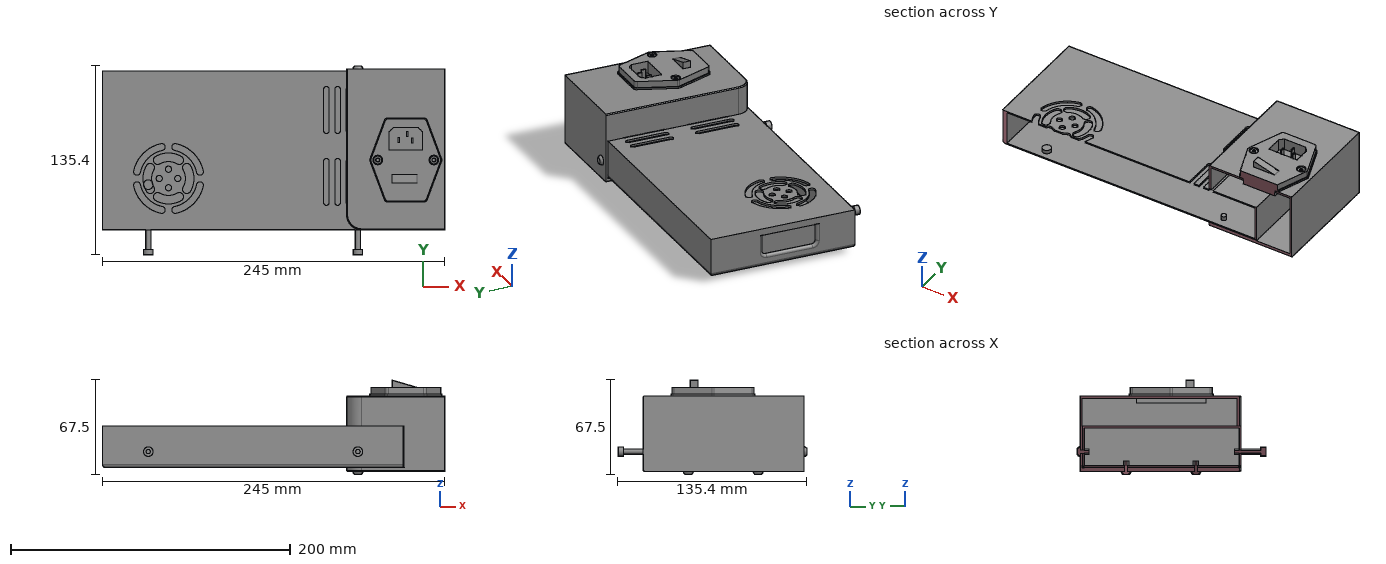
import cadquery as cq
import math

CASE_LENGTH = 215.0
CASE_DEPTH = 113.7
CASE_HEIGHT = 30.0
CASE_WALL = 1.5
CASE_BOTTOM_RADIUS = 2.5
CASE_LID_BOTTOM = CASE_HEIGHT - CASE_WALL

RECESS_WIDTH = 46.5
RECESS_HEIGHT = 18.4
RECESS_RIGHT = 28.2
RECESS_BOTTOM_Z = 6.4
RECESS_CORNER_RADIUS = 5.1
RECESS_RIM = 2.2
RECESS_DEPTH = 2.5
CASE_END_WALL = RECESS_DEPTH + CASE_WALL

FAN_X = 47.3
FAN_Y = 36.8
OUTER_SLOT_RADIUS = 23.0
OUTER_SLOT_WIDTH = 5.0
OUTER_SLOT_SWEEP = 66.0
INNER_SLOT_RADIUS = 15.2
INNER_SLOT_WIDTH = 6.1
INNER_SLOT_SWEEP = 61.0
FAN_HOLE_DIAMETER = 4.5
FAN_HOLE_RADIUS = 6.5

VENT_FIRST_X = 160.2
VENT_PITCH = 8.0
VENT_COLUMNS = 3
VENT_WIDTH = 4.0
VENT_LENGTH = 33.5
VENT_ROWS_Y = (34.3, 85.8)

BOSS_DIAMETER = 6.9
BOSS_HEIGHT = 3.0

COVER_LEFT = 174.7
COVER_RIGHT = 245.0
COVER_BACK = 115.2
COVER_BOTTOM = -2.7
COVER_TOP = 51.5
COVER_WALL = 2.0
COVER_CORNER_RADIUS = 10.8
COVER_CHAMFER = 0.7
CASE_END_GAP = 0.7

INLET_X = 217.0
INLET_Y = 50.0
INLET_HALF_WIDTH = 26.0
INLET_HALF_FLAT = 14.7
INLET_HALF_HEIGHT = 30.1
INLET_CORNER_RADIUS = 2.5
INLET_STEP = 0.7
RIM_HEIGHT = 1.2
INLET_TOP = 57.5
BODY_WIDTH = 27.0
BODY_LENGTH = 50.0

SOCKET_WIDTH = 23.8
SOCKET_HEIGHT = 16.0
SOCKET_MIDDLE_Y = 15.2
SOCKET_CHAMFER = 3.0
SOCKET_DEPTH = 9.3
BODY_BOTTOM = INLET_TOP - SOCKET_DEPTH - COVER_WALL
PIN_WIDTH = 1.0
PIN_LENGTH = 3.5
PIN_HEIGHT = 7.4
PIN_PLACES = ((-5.1, 14.2), (1.0, 18.5), (4.7, 14.0))

SWITCH_LEFT = -9.8
SWITCH_LENGTH = 17.6
SWITCH_WIDTH = 6.0
SWITCH_MIDDLE_Y = -13.5
SWITCH_RISE = 5.1

SHANK_DIAMETER = 4.0
FRONT_SCREW_XS = (32.8, 182.8)
SIDE_SCREW_Z = 11.5
CAP_HEAD_DIAMETER = 6.9
CAP_HEAD_HEIGHT = 4.0
CAP_SCREW_REACH = 18.0
CAP_SOCKET_DIAMETER = 3.5
CAP_SOCKET_DEPTH = 2.0
THREAD_ENGAGEMENT = 5.0

BUTTON_X = 182.8
BUTTON_YS = (32.3, 82.3)
BUTTON_HEAD_DIAMETER = 7.4
BUTTON_TOP_DIAMETER = 4.5
BUTTON_HEAD_HEIGHT = 2.2
BUTTON_DOME_POINT = (3.2, 1.2)

INLET_SCREW_SPACING = 40.2
INLET_SCREW_HEAD = 5.6
INLET_SCREW_SHANK = 3.0
INLET_SCREW_LENGTH = 7.4
COUNTERSINK_DIAMETER = 6.9
DRIVE_DIAMETER = 2.7
DRIVE_DEPTH = 1.0


def block(x0, x1, y0, y1, z0, z1):
    """Box between two corners."""
    return cq.Workplane("XY").box(x1 - x0, y1 - y0, z1 - z0, centered=False).translate((x0, y0, z0))


def rod(diameter, start, direction, length):
    """Cylinder that runs from a start point along a direction."""
    cylinder = cq.Solid.makeCylinder(diameter / 2, length, cq.Vector(*start), cq.Vector(*direction))
    return cq.Workplane(obj=cylinder)


def arc_slot(radius, width, middle_angle, sweep):
    """Cutter for an arc-shaped slot with round ends through the top of the case."""
    def polar(r, angle):
        a = math.radians(angle)
        return (r * math.cos(a), r * math.sin(a))

    first = middle_angle - sweep / 2
    last = middle_angle + sweep / 2
    inner = radius - width / 2
    outer = radius + width / 2
    end_overrun = math.degrees(width / 2 / radius)
    return (
        cq.Workplane("XY")
        .moveTo(*polar(inner, first))
        .threePointArc(polar(inner, middle_angle), polar(inner, last))
        .threePointArc(polar(radius, last + end_overrun), polar(outer, last))
        .threePointArc(polar(outer, middle_angle), polar(outer, first))
        .threePointArc(polar(radius, first - end_overrun), polar(inner, first))
        .close()
        .extrude(CASE_WALL)
        .translate((FAN_X, FAN_Y, CASE_LID_BOTTOM))
    )


def fan_grille():
    """Cutters of the fan grille: two rings of four arc slots and four round holes."""
    cutters = (
        cq.Workplane("XY", origin=(FAN_X, FAN_Y, CASE_LID_BOTTOM))
        .polarArray(FAN_HOLE_RADIUS, 0, 360, 4)
        .circle(FAN_HOLE_DIAMETER / 2)
        .extrude(CASE_WALL)
    )
    for quarter in range(4):
        angle = 90 * quarter
        cutters = cutters.add(arc_slot(INNER_SLOT_RADIUS, INNER_SLOT_WIDTH, angle, INNER_SLOT_SWEEP))
        cutters = cutters.add(arc_slot(OUTER_SLOT_RADIUS, OUTER_SLOT_WIDTH, angle + 45, OUTER_SLOT_SWEEP))
    return cutters.combine()


def vents():
    """Cutters of the straight vent slots."""
    places = [(VENT_FIRST_X + i * VENT_PITCH, y) for i in range(VENT_COLUMNS) for y in VENT_ROWS_Y]
    return (
        cq.Workplane("XY", origin=(0, 0, CASE_LID_BOTTOM))
        .pushPoints(places)
        .slot2D(VENT_LENGTH, VENT_WIDTH, 90)
        .extrude(CASE_WALL)
    )


def recess():
    """Cutter of the end recess, with a rounded rim at its sides and bottom and a sharp top edge."""
    top = RECESS_BOTTOM_Z + RECESS_HEIGHT
    left = RECESS_RIGHT + RECESS_WIDTH
    half_rim = RECESS_RIM / 2
    floor_area = (
        block(0, RECESS_DEPTH, RECESS_RIGHT + RECESS_RIM, left - RECESS_RIM,
              RECESS_BOTTOM_Z + RECESS_RIM, CASE_HEIGHT)
        .edges("|X and <Z")
        .fillet(RECESS_CORNER_RADIUS - RECESS_RIM)
    )
    rim_edges = cq.selectors.BoxSelector(
        (-half_rim, RECESS_RIGHT + half_rim, RECESS_BOTTOM_Z + half_rim),
        (half_rim, left - half_rim, CASE_HEIGHT - half_rim),
    )
    rim = (
        block(0, RECESS_DEPTH, 0, CASE_DEPTH, 0, CASE_HEIGHT)
        .cut(floor_area)
        .edges(rim_edges)
        .fillet(RECESS_RIM)
    )
    return block(0, RECESS_DEPTH, 0, CASE_DEPTH, 0, top).cut(rim)


def make_case():
    case = block(0, CASE_LENGTH, 0, CASE_DEPTH, 0, CASE_HEIGHT)
    case = case.edges("<Z and (|X or <X)").fillet(CASE_BOTTOM_RADIUS)
    case = case.cut(block(CASE_END_WALL, CASE_LENGTH - CASE_WALL, CASE_WALL, CASE_DEPTH - CASE_WALL,
                          CASE_WALL, CASE_HEIGHT - CASE_WALL))
    case = case.cut(recess())
    case = case.cut(fan_grille()).cut(vents())
    boss = rod(BOSS_DIAMETER, (FRONT_SCREW_XS[0], BUTTON_YS[0], CASE_WALL), (0, 0, 1), BOSS_HEIGHT)
    return case.union(boss)


def make_cover():
    cover = block(COVER_LEFT, COVER_RIGHT, 0, COVER_BACK, COVER_BOTTOM, COVER_TOP)
    cover = cover.edges("|Z and <X and <Y").fillet(COVER_CORNER_RADIUS)
    for face in (">Z", "<Z"):
        cover = cover.faces(face).edges("not (>X or >Y)").chamfer(COVER_CHAMFER)
    case_pocket = block(COVER_LEFT, CASE_LENGTH + CASE_END_GAP, 0, CASE_DEPTH, 0, CASE_HEIGHT)
    wiring_space = (
        block(COVER_LEFT + COVER_WALL, COVER_RIGHT - COVER_WALL, COVER_WALL, CASE_DEPTH,
              0, COVER_TOP - COVER_WALL)
        .edges("|Z and <X and <Y")
        .fillet(COVER_CORNER_RADIUS - COVER_WALL)
    )
    return cover.cut(case_pocket).cut(wiring_space)


def inlet_plate(inset, bottom, top):
    """Hexagonal plate of the inlet with rounded corners, drawn in by an inset."""
    corners = [
        (-INLET_HALF_WIDTH, 0),
        (-INLET_HALF_FLAT, -INLET_HALF_HEIGHT),
        (INLET_HALF_FLAT, -INLET_HALF_HEIGHT),
        (INLET_HALF_WIDTH, 0),
        (INLET_HALF_FLAT, INLET_HALF_HEIGHT),
        (-INLET_HALF_FLAT, INLET_HALF_HEIGHT),
    ]
    outline = cq.Workplane("XY", origin=(INLET_X, INLET_Y, bottom)).polyline(corners).close()
    if inset > 0:
        outline = outline.offset2D(-inset, "intersection")
    return outline.extrude(top - bottom).edges("|Z").fillet(INLET_CORNER_RADIUS)


def inlet_body():
    """Rectangular part of the inlet below its plate, also the cutter of its opening in the cover."""
    return (
        cq.Workplane("XY", origin=(INLET_X, INLET_Y, BODY_BOTTOM))
        .rect(BODY_WIDTH, BODY_LENGTH)
        .extrude(COVER_TOP - BODY_BOTTOM)
    )


def inlet_socket():
    """Cutter of the plug socket, with its two upper corners cut off."""
    return (
        cq.Workplane("XY", origin=(INLET_X, INLET_Y + SOCKET_MIDDLE_Y, INLET_TOP - SOCKET_DEPTH))
        .rect(SOCKET_WIDTH, SOCKET_HEIGHT)
        .extrude(SOCKET_DEPTH)
        .edges("|Z and >Y")
        .chamfer(SOCKET_CHAMFER)
    )


def rocker_switch():
    """Wedge that rises toward the left."""
    return (
        cq.Workplane("XZ", origin=(INLET_X + SWITCH_LEFT, INLET_Y + SWITCH_MIDDLE_Y, INLET_TOP))
        .polyline([(0, 0), (SWITCH_LENGTH, 0), (0, SWITCH_RISE)])
        .close()
        .extrude(SWITCH_WIDTH / 2, both=True)
    )


def make_inlet():
    inlet = inlet_plate(0, COVER_TOP, COVER_TOP + RIM_HEIGHT)
    inlet = inlet.union(inlet_plate(INLET_STEP, COVER_TOP + RIM_HEIGHT, INLET_TOP))
    inlet = inlet.union(inlet_body()).cut(inlet_socket())
    pins = (
        cq.Workplane("XY", origin=(INLET_X, INLET_Y, INLET_TOP - SOCKET_DEPTH))
        .pushPoints(PIN_PLACES)
        .rect(PIN_WIDTH, PIN_LENGTH)
        .extrude(PIN_HEIGHT)
    )
    return inlet.union(pins).union(rocker_switch())


def make_cap_screw(x):
    """Socket head screw that enters the case front, partly screwed in."""
    head_front = -CAP_SCREW_REACH
    head_back = head_front + CAP_HEAD_HEIGHT
    head = rod(CAP_HEAD_DIAMETER, (x, head_front, SIDE_SCREW_Z), (0, 1, 0), CAP_HEAD_HEIGHT)
    shank = rod(SHANK_DIAMETER, (x, head_back, SIDE_SCREW_Z), (0, 1, 0), THREAD_ENGAGEMENT - head_back)
    socket = (
        cq.Workplane("XZ", origin=(x, head_front + CAP_SOCKET_DEPTH, SIDE_SCREW_Z))
        .polygon(6, CAP_SOCKET_DIAMETER)
        .extrude(CAP_SOCKET_DEPTH)
    )
    return head.union(shank).cut(socket)


def make_button_screw(seat, direction, grip):
    """Domed screw whose head seats at a point and whose shank runs along a direction."""
    shank_radius = SHANK_DIAMETER / 2
    head_radius = BUTTON_HEAD_DIAMETER / 2
    top_radius = BUTTON_TOP_DIAMETER / 2
    dome_radius, dome_height = BUTTON_DOME_POINT
    plane = cq.Plane(origin=seat, xDir=(1, 0, 0), normal=direction)
    profile = (
        cq.Workplane("XZ")
        .moveTo(0, THREAD_ENGAGEMENT + grip)
        .lineTo(shank_radius, THREAD_ENGAGEMENT + grip)
        .lineTo(shank_radius, 0)
        .lineTo(head_radius, 0)
        .threePointArc((dome_radius, -dome_height), (top_radius, -BUTTON_HEAD_HEIGHT))
        .lineTo(0, -BUTTON_HEAD_HEIGHT)
        .close()
    )
    screw = profile.revolve(360, (0, 0, 0), (0, 1, 0)).val()
    return cq.Workplane(obj=screw.located(cq.Location(plane)))


def make_inlet_screw(x):
    """Countersunk screw that sits in the inlet plate."""
    sunk = (COUNTERSINK_DIAMETER - INLET_SCREW_HEAD) / 2
    top = INLET_TOP - sunk
    cone_height = (INLET_SCREW_HEAD - INLET_SCREW_SHANK) / 2
    cone = cq.Solid.makeCone(INLET_SCREW_HEAD / 2, INLET_SCREW_SHANK / 2, cone_height,
                             cq.Vector(x, INLET_Y, top), cq.Vector(0, 0, -1))
    shank = rod(INLET_SCREW_SHANK, (x, INLET_Y, top - INLET_SCREW_LENGTH), (0, 0, 1),
                INLET_SCREW_LENGTH - cone_height)
    drive = (
        cq.Workplane("XY", origin=(x, INLET_Y, top - DRIVE_DEPTH))
        .polygon(6, DRIVE_DIAMETER)
        .extrude(DRIVE_DEPTH)
    )
    return shank.union(cq.Workplane(obj=cone)).cut(drive)


def countersink(x):
    """Cutter of the conical seat above and around an inlet screw head."""
    depth = (COUNTERSINK_DIAMETER - INLET_SCREW_SHANK) / 2
    cone = cq.Solid.makeCone(COUNTERSINK_DIAMETER / 2, INLET_SCREW_SHANK / 2, depth,
                             cq.Vector(x, INLET_Y, INLET_TOP), cq.Vector(0, 0, -1))
    return cq.Workplane(obj=cone)


case = make_case()
cover = make_cover()
inlet = make_inlet()

cap_screws = [make_cap_screw(x) for x in FRONT_SCREW_XS]
for x in FRONT_SCREW_XS:
    case = case.cut(rod(SHANK_DIAMETER, (x, 0, SIDE_SCREW_Z), (0, 1, 0), CASE_WALL))

button_seats = [((BUTTON_X, y, COVER_BOTTOM), (0, 0, 1), -COVER_BOTTOM) for y in BUTTON_YS]
button_seats.append(((BUTTON_X, COVER_BACK, SIDE_SCREW_Z), (0, -1, 0), COVER_BACK - CASE_DEPTH))
button_screws = []
for seat, direction, grip in button_seats:
    button_screws.append(make_button_screw(seat, direction, grip))
    hole = rod(SHANK_DIAMETER, seat, direction, grip + CASE_WALL)
    case = case.cut(hole)
    cover = cover.cut(hole)

inlet_screws = []
for side in (-1, 1):
    x = INLET_X + side * INLET_SCREW_SPACING / 2
    inlet_screws.append(make_inlet_screw(x))
    hole = rod(INLET_SCREW_SHANK, (x, INLET_Y, BODY_BOTTOM), (0, 0, 1), INLET_TOP - BODY_BOTTOM)
    inlet = inlet.cut(countersink(x)).cut(hole)
    cover = cover.cut(hole)
cover = cover.cut(inlet_body())

bodies = [case, cover, inlet, *cap_screws, *button_screws, *inlet_screws]
result = cq.Compound.makeCompound([body.solids().val() for body in bodies])